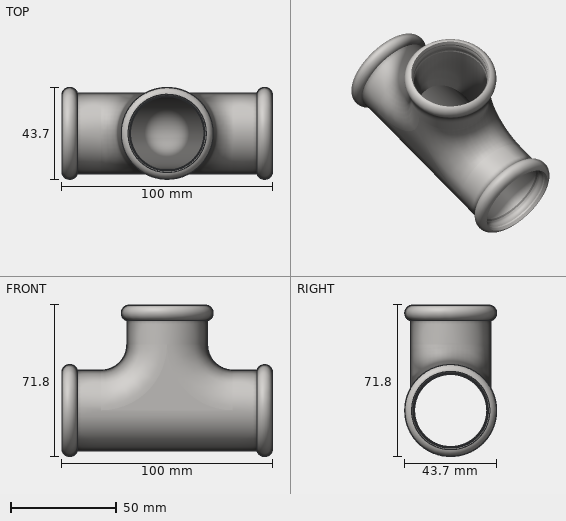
import cadquery as cq
import math

run_length = 100.0
branch_height = 50.0
tube_radius = 38.4 / 2
run_bore_radius = 34.3 / 2
branch_bore_radius = 34.9 / 2
blend_radius = 12.0

bead_radius = 43.68 / 2
bead_width = 7.35

mouth_radius = 37.2 / 2
throat_radius = 35.8 / 2
socket_radius = 35.4 / 2
taper_depth = 1.35
socket_depth = 6.1
bore_depth = 6.8

seal_depth = 3.85
seal_radius = 17.5
seal_round = 3.8

bend_radius = tube_radius + blend_radius
seal_center_radius = seal_radius + seal_round

ends = (
    (0, branch_height, branch_bore_radius),
    (-90, run_length / 2, run_bore_radius),
    (90, run_length / 2, run_bore_radius),
)


def revolve_about_z(profile):
    return profile.revolve(360, (0, 0, 0), (0, 1, 0))


def turn_to_end(solid, angle):
    return solid.rotate((0, 0, 0), (0, 1, 0), angle)


def end_sleeve(reach):
    """Solid tube stub with its rolled bead, along +Z from the fitting centre."""
    profile = (
        cq.Workplane("XZ")
        .lineTo(tube_radius, 0)
        .lineTo(tube_radius, reach - bead_width)
        .threePointArc((bead_radius, reach - bead_width / 2), (mouth_radius, reach))
        .lineTo(0, reach)
        .close()
    )
    return revolve_about_z(profile)


def seal_half_length(radius):
    """Distance along the axis from the ring's middle to where it meets the given radius."""
    return math.sqrt(seal_round**2 - (seal_center_radius - radius) ** 2)


def end_opening(reach, bore_radius):
    """Bore, socket and tapered mouth along +Z, narrowed by the round seal ring."""
    seal_height = reach - seal_depth
    seal_inner_end = seal_height - seal_half_length(socket_radius)
    seal_outer_end = seal_height + seal_half_length(throat_radius)
    profile = (
        cq.Workplane("XZ")
        .lineTo(bore_radius, 0)
        .lineTo(bore_radius, reach - bore_depth)
        .lineTo(socket_radius, reach - socket_depth)
        .lineTo(socket_radius, seal_inner_end)
        .threePointArc((seal_radius, seal_height), (throat_radius, seal_outer_end))
        .lineTo(throat_radius, reach - taper_depth)
        .lineTo(mouth_radius, reach)
        .lineTo(0, reach)
        .close()
    )
    return revolve_about_z(profile)


def bend(side):
    """Quarter bend from the branch into the run, towards +X (side 1) or -X (side -1)."""
    return (
        cq.Workplane("XY", origin=(0, 0, bend_radius))
        .circle(tube_radius)
        .revolve(90, (side * bend_radius, 0, 0), (side * bend_radius, -side, 0))
    )


def web():
    """Flat-sided filling between the centrelines of the two bends and the run."""
    arc_middle = bend_radius * (1 - math.sqrt(0.5))
    return (
        cq.Workplane("XZ")
        .moveTo(-bend_radius, 0)
        .threePointArc((-arc_middle, arc_middle), (0, bend_radius))
        .threePointArc((arc_middle, arc_middle), (bend_radius, 0))
        .close()
        .extrude(tube_radius, both=True)
    )


result = web().union(bend(1)).union(bend(-1))
for angle, reach, _ in ends:
    result = result.union(turn_to_end(end_sleeve(reach), angle))
for angle, reach, bore_radius in ends:
    result = result.cut(turn_to_end(end_opening(reach, bore_radius), angle))